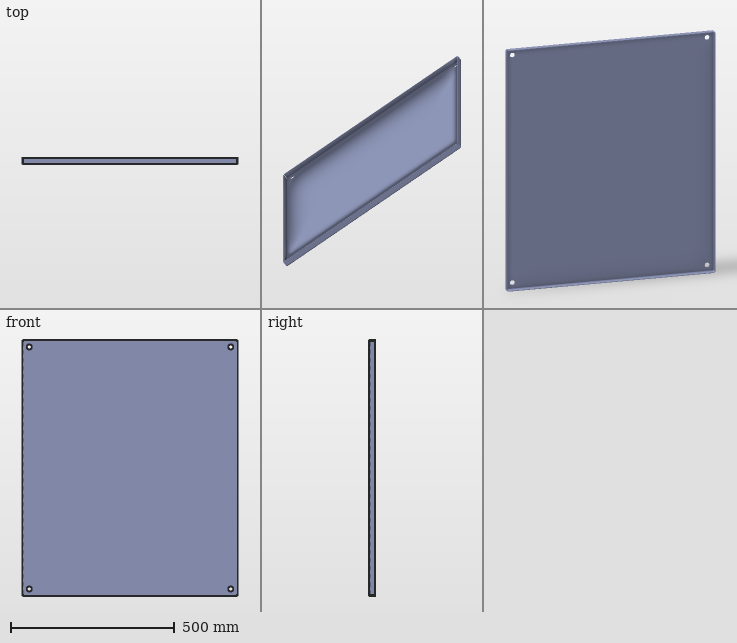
import cadquery as cq

width = 660.0
depth = 19.0
height = 784.0
sheet = 1.95
bend_radius = 3.8
corner_relief = 3.0
hole_diameter = 15.0
hole_inset = 22.0

inner_radius = bend_radius - sheet
front_y = -depth / 2
back_y = depth / 2


def flange(outer_distance, length):
    """Flange and its bend on the +X side, centred on Z = 0."""
    bend_start = outer_distance - bend_radius
    inner_face = outer_distance - sheet
    bend_end_y = front_y + bend_radius
    diagonal = 0.5 ** 0.5
    outer_middle = (bend_start + bend_radius * diagonal, bend_end_y - bend_radius * diagonal)
    inner_middle = (bend_start + inner_radius * diagonal, bend_end_y - inner_radius * diagonal)
    return (
        cq.Workplane("XY", origin=(0, 0, -length / 2))
        .moveTo(bend_start, front_y)
        .threePointArc(outer_middle, (outer_distance, bend_end_y))
        .lineTo(outer_distance, back_y)
        .lineTo(inner_face, back_y)
        .lineTo(inner_face, bend_end_y)
        .threePointArc(inner_middle, (bend_start, front_y + sheet))
        .close()
        .extrude(length)
    )


plate_width = width - 2 * bend_radius
plate_height = height - 2 * bend_radius
plate = cq.Workplane("XY").box(plate_width, sheet, plate_height).translate((0, front_y + sheet / 2, 0))

side_flange = flange(width / 2, height - 2 * corner_relief)
end_flange = flange(height / 2, width - 2 * corner_relief)
panel = plate
for angle in (0, 180):
    panel = panel.union(side_flange.rotate((0, 0, 0), (0, 1, 0), angle))
    panel = panel.union(end_flange.rotate((0, 0, 0), (0, 1, 0), angle + 90))

holes = (
    cq.Workplane("XZ", origin=(0, back_y, 0))
    .rect(width - 2 * hole_inset, height - 2 * hole_inset, forConstruction=True)
    .vertices()
    .circle(hole_diameter / 2)
    .extrude(depth)
)
result = panel.cut(holes)